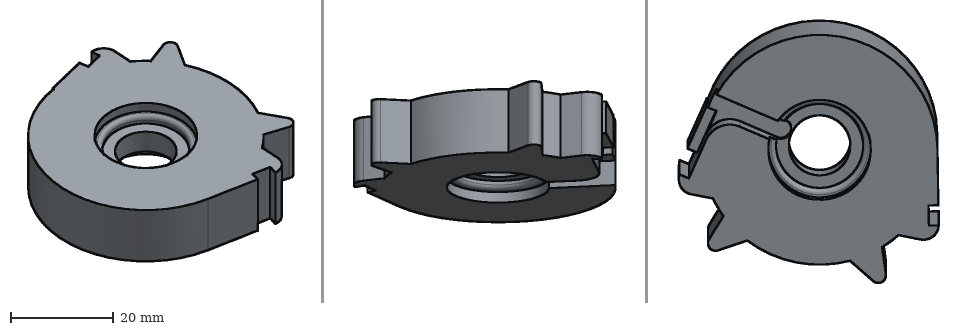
import cadquery as cq
import math

THICKNESS = 13.0
BODY_RADIUS = 23.0
HALF_WIDTH = 25.85

FLANK_ANGLE = 12.3
PAD_DISTANCE = 23.15
NOTCH_FLOOR_DISTANCE = 21.1
NOTCH_LOW = 11.5
NOTCH_HIGH = 15.5

SHOULDER_Y = 13.7
SHOULDER_RADIUS = 3.0

EAR_OUTER_ROOT_X = 15.8
EAR_INNER_ROOT_X = 10.25
EAR_APEX = (18.95, 25.75)
EAR_TIP_RADIUS = 1.5

BORE_DIAMETER = 12.0
SEAT_DIAMETER = 17.0
COUNTERBORE_DIAMETER = 20.0
COUNTERBORE_DEPTH = 2.15
SEAT_DEPTH = 4.0
LEDGE_ROUND = 1.0

CHANNEL_HALF_WIDTH = 2.0
CHANNEL_HEIGHT = 5.0
CHANNEL_MOUTH_RADIUS = 5.0
CHANNEL_END_DISTANCE = 8.25
RECESS_HEIGHT = 6.45

CLEARANCE = 5.15


def flank_point(distance, along):
    """Point on the +X side at a distance from the axis and a place along the flank."""
    angle = math.radians(FLANK_ANGLE)
    x = distance * math.cos(angle) + along * math.sin(angle)
    y = -distance * math.sin(angle) + along * math.cos(angle)
    return (x, y)


def mirrored(point):
    return (-point[0], point[1])


def on_body_circle(x):
    return (x, math.sqrt(BODY_RADIUS**2 - x**2))


def fin_corner():
    """Point where the notch's upper side meets the shoulder round."""
    angle = math.radians(FLANK_ANGLE)
    center_x = HALF_WIDTH - SHOULDER_RADIUS
    center_y = SHOULDER_Y - SHOULDER_RADIUS
    center_distance = center_x * math.cos(angle) - center_y * math.sin(angle)
    center_along = center_x * math.sin(angle) + center_y * math.cos(angle)
    reach = math.sqrt(SHOULDER_RADIUS**2 - (NOTCH_HIGH - center_along) ** 2)
    return flank_point(center_distance + reach, NOTCH_HIGH)


def make_body():
    tangent = flank_point(BODY_RADIUS, 0)
    pad_root_distance = math.sqrt(BODY_RADIUS**2 - CHANNEL_HALF_WIDTH**2)
    pad_root = mirrored(flank_point(pad_root_distance, CHANNEL_HALF_WIDTH))
    notch_floor_low = flank_point(NOTCH_FLOOR_DISTANCE, NOTCH_LOW)
    notch_floor_high = flank_point(NOTCH_FLOOR_DISTANCE, NOTCH_HIGH)
    fin = fin_corner()
    round_offset = SHOULDER_RADIUS * (1 - math.sqrt(0.5))
    shoulder_middle = (HALF_WIDTH - round_offset, SHOULDER_Y - round_offset)
    shoulder_top = (HALF_WIDTH - SHOULDER_RADIUS, SHOULDER_Y)
    shoulder_root = (math.sqrt(BODY_RADIUS**2 - SHOULDER_Y**2), SHOULDER_Y)
    ear_outer_root = on_body_circle(EAR_OUTER_ROOT_X)
    ear_inner_root = on_body_circle(EAR_INNER_ROOT_X)
    root_middle = on_body_circle((shoulder_root[0] + EAR_OUTER_ROOT_X) / 2)
    body = (
        cq.Workplane("XY")
        .moveTo(*tangent)
        .lineTo(*flank_point(BODY_RADIUS, NOTCH_LOW))
        .lineTo(*notch_floor_low)
        .lineTo(*notch_floor_high)
        .lineTo(*fin)
        .threePointArc(shoulder_middle, shoulder_top)
        .lineTo(*shoulder_root)
        .threePointArc(root_middle, ear_outer_root)
        .lineTo(*EAR_APEX)
        .lineTo(*ear_inner_root)
        .threePointArc((0, BODY_RADIUS), mirrored(ear_inner_root))
        .lineTo(*mirrored(EAR_APEX))
        .lineTo(*mirrored(ear_outer_root))
        .threePointArc(mirrored(root_middle), mirrored(shoulder_root))
        .lineTo(*mirrored(shoulder_top))
        .threePointArc(mirrored(shoulder_middle), mirrored(fin))
        .lineTo(*mirrored(notch_floor_high))
        .lineTo(*mirrored(notch_floor_low))
        .lineTo(*mirrored(flank_point(PAD_DISTANCE, NOTCH_LOW)))
        .lineTo(*mirrored(flank_point(PAD_DISTANCE, CHANNEL_HALF_WIDTH)))
        .lineTo(*pad_root)
        .threePointArc((0, -BODY_RADIUS), tangent)
        .close()
        .extrude(THICKNESS)
    )
    for x, y in (EAR_APEX, mirrored(EAR_APEX)):
        edge = cq.selectors.NearestToPointSelector((x, y, THICKNESS / 2))
        body = body.edges(edge).fillet(EAR_TIP_RADIUS)
    return body


def make_bore():
    """Revolved cutter; a quarter round leads from each ledge into its seat."""
    bore = BORE_DIAMETER / 2
    seat = SEAT_DIAMETER / 2
    counterbore = COUNTERBORE_DIAMETER / 2
    half_bore = (
        cq.Workplane("XZ")
        .lineTo(counterbore, 0)
        .lineTo(counterbore, COUNTERBORE_DEPTH)
        .lineTo(seat + LEDGE_ROUND, COUNTERBORE_DEPTH)
        .radiusArc((seat, COUNTERBORE_DEPTH + LEDGE_ROUND), LEDGE_ROUND)
        .lineTo(seat, SEAT_DEPTH)
        .lineTo(bore, SEAT_DEPTH)
        .lineTo(bore, THICKNESS / 2)
        .lineTo(0, THICKNESS / 2)
        .close()
        .revolve(360, (0, 0, 0), (0, 1, 0))
    )
    return half_bore.union(half_bore.mirror("XY", (0, 0, THICKNESS / 2)))


def make_recess():
    """Sets the lower flank back to the notch floor, between the channel and the fin."""
    outer = PAD_DISTANCE + CLEARANCE
    corners = [
        flank_point(NOTCH_FLOOR_DISTANCE, CHANNEL_HALF_WIDTH),
        flank_point(outer, CHANNEL_HALF_WIDTH),
        flank_point(outer, NOTCH_LOW),
        flank_point(NOTCH_FLOOR_DISTANCE, NOTCH_LOW),
    ]
    return cq.Workplane("XY").polyline([mirrored(p) for p in corners]).close().extrude(RECESS_HEIGHT)


def make_channel():
    """Slot square to the flank, with a round inner end and a rounded mouth."""
    outer = PAD_DISTANCE + CLEARANCE
    mouth = CHANNEL_HALF_WIDTH + CHANNEL_MOUTH_RADIUS
    round_start = NOTCH_FLOOR_DISTANCE - CHANNEL_MOUTH_RADIUS
    round_offset = CHANNEL_MOUTH_RADIUS * math.sqrt(0.5)
    round_middle = flank_point(round_start + round_offset, mouth - round_offset)
    return (
        cq.Workplane("XY")
        .moveTo(*mirrored(flank_point(CHANNEL_END_DISTANCE, -CHANNEL_HALF_WIDTH)))
        .lineTo(*mirrored(flank_point(outer, -CHANNEL_HALF_WIDTH)))
        .lineTo(*mirrored(flank_point(outer, mouth)))
        .lineTo(*mirrored(flank_point(NOTCH_FLOOR_DISTANCE, mouth)))
        .threePointArc(
            mirrored(round_middle),
            mirrored(flank_point(round_start, CHANNEL_HALF_WIDTH)),
        )
        .lineTo(*mirrored(flank_point(CHANNEL_END_DISTANCE, CHANNEL_HALF_WIDTH)))
        .threePointArc(
            mirrored(flank_point(CHANNEL_END_DISTANCE - CHANNEL_HALF_WIDTH, 0)),
            mirrored(flank_point(CHANNEL_END_DISTANCE, -CHANNEL_HALF_WIDTH)),
        )
        .close()
        .extrude(CHANNEL_HEIGHT)
    )


result = make_body().cut(make_bore()).cut(make_recess()).cut(make_channel())